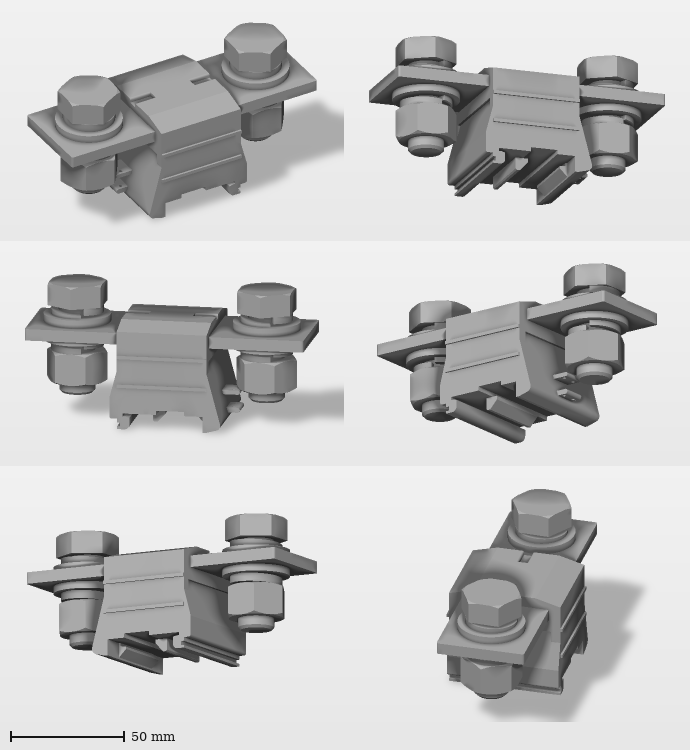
import cadquery as cq
import math


body_width = 51.0
cover_half_length = 20.2
cover_top_z = 47.3
cover_side_z = 44.25
cover_ridge_half_width = 14.1
skirt_bottom_z = 26.4
skirt_opening_z = 31.4
skirt_half_opening = 21.3

wall_slope = math.tan(math.radians(15))
back_wall_y = 23.5
back_wall_bottom_z = 4.7
back_wall_radius = 1.0

ceiling_z = 7.2
recess_z = 9.1
recess_front_y = -10.0
recess_back_y = 2.45

foot_inner_y = -18.3
foot_flat_y = -19.8
foot_radius = 2.35

hook_back_y = 20.15
groove_y = 18.7
groove_bottom_z = 1.15
groove_top_z = 3.05
hook_neck_y = 17.5
hook_tip_y = 14.5
hook_tip_z = 5.3
hook_throat_y = 16.1
hook_throat_z = 5.8
hook_radius = 2.35

inset_width = 30.0
latch_neck_y = -17.5
latch_tip_y = -14.8
latch_throat_z = 5.8
latch_tip_top_z = 5.4
latch_tip_bottom_z = 4.3
latch_bottom_z = 0.8
tooth_back_y = 5.85
tooth_front_y = 0.1
tooth_front_z = 5.5
tooth_point_y = 3.8
tooth_bottom_z = 1.5
tooth_chamfer = 0.6

rib_projection = 1.0
rib_thickness = 1.5
rib_centres_z = (19.75, 32.8)

slot_width = 4.1
slot_length = 10.25
slot_depth = 2.0
slot_edge_radius = 0.85

tab_width = 10.3
tab_tip_y = -31.35
tab_root_y = -20.0
tab_tip_bulge = 0.9
tab_levels = ((12.85, 14.75), (4.65, 6.95))
tab_hole_diameter = 1.5
tab_hole_x = 3.2
tab_hole_y = -28.2

bar_length = 125.0
bar_width = 40.0
bar_centre_x = -0.2
bar_bottom_z = 37.1
bar_top_z = 42.3
bar_corner_radius = 1.0

bolt_y = 42.5
bolt_diameter = 16.0
bolt_top_z = 60.2
bolt_length = 40.2
head_height = 10.0
tip_chamfer = 1.2
hex_across_flats = 24.0
hex_across_corners = hex_across_flats / math.cos(math.radians(30))
head_turn = -2.0
nut_turn = -35.0
nut_bottom_z = 15.2
nut_top_z = 29.5
head_face_diameter = 24.9
nut_face_diameter = 24.0
hex_chamfer_slope = math.tan(math.radians(30))

washer_diameter = 30.0
upper_washer_top_z = 45.75
lower_washer_bottom_z = 34.0
lock_outer_diameter = 23.3
lock_inner_diameter = 17.0
lock_thickness = 3.7
lock_pitch = 3.7
lock_start_angle = 198.0
lock_turn = 353.0
upper_lock_z = 43.4
lower_lock_z = 28.2


def box(x_min, x_max, y_min, y_max, z_min, z_max):
    size = (x_max - x_min, y_max - y_min, z_max - z_min)
    return cq.Workplane("XY").box(*size, centered=False).translate((x_min, y_min, z_min))


def across(yz_points, width):
    """Prism of a YZ outline, centred on X = 0."""
    return cq.Workplane("YZ").polyline(yz_points).close().extrude(width / 2, both=True)


def round_edge(solid, y, z, radius):
    """Fillet the edge along X that passes through (y, z)."""
    edge = solid.edges(cq.selectors.NearestToPointSelector((0, y, z)))
    return edge.fillet(radius)


def make_base():
    lean = (skirt_opening_z - skirt_bottom_z) * wall_slope
    top_y = cover_half_length - lean
    back_wall_top_z = skirt_bottom_z - (back_wall_y - cover_half_length) / wall_slope
    wall_foot_y = -cover_half_length - skirt_bottom_z * wall_slope
    foot_run = (foot_flat_y - wall_foot_y) / (1 + wall_slope**2)
    foot_corner = (foot_flat_y - foot_run, foot_run * wall_slope)
    base = across(
        [
            (-top_y, skirt_opening_z),
            foot_corner,
            (foot_flat_y, 0),
            (foot_inner_y, 0),
            (foot_inner_y, ceiling_z),
            (recess_front_y, ceiling_z),
            (recess_front_y, recess_z),
            (recess_back_y, recess_z),
            (recess_back_y, ceiling_z),
            (hook_neck_y, ceiling_z),
            (hook_neck_y, hook_throat_z),
            (hook_throat_y, hook_throat_z),
            (hook_tip_y, hook_tip_z),
            (hook_tip_y, 0),
            (hook_back_y, 0),
            (hook_back_y, groove_bottom_z),
            (groove_y, groove_bottom_z),
            (groove_y, groove_top_z),
            (hook_back_y, groove_top_z),
            (hook_back_y, back_wall_bottom_z),
            (back_wall_y, back_wall_bottom_z),
            (back_wall_y, back_wall_top_z),
            (top_y, skirt_opening_z),
        ],
        body_width,
    )
    base = round_edge(base, *foot_corner, foot_radius)
    base = round_edge(base, hook_tip_y, 0, hook_radius)
    return round_edge(base, back_wall_y, back_wall_bottom_z, back_wall_radius)


def make_latch():
    return across(
        [
            (foot_inner_y, ceiling_z),
            (latch_neck_y, ceiling_z),
            (latch_neck_y, latch_throat_z),
            (latch_tip_y, latch_tip_top_z),
            (latch_tip_y, latch_tip_bottom_z),
            (foot_inner_y, latch_bottom_z),
        ],
        inset_width,
    )


def make_tooth():
    return across(
        [
            (tooth_back_y, ceiling_z),
            (tooth_back_y, tooth_bottom_z + tooth_chamfer),
            (tooth_back_y - tooth_chamfer, tooth_bottom_z),
            (tooth_point_y, tooth_bottom_z),
            (tooth_front_y, tooth_front_z),
            (tooth_front_y, ceiling_z),
        ],
        inset_width,
    )


def make_cover():
    half_width = body_width / 2
    outline = [
        (-half_width, skirt_bottom_z),
        (-half_width, cover_side_z),
        (-cover_ridge_half_width, cover_top_z),
        (cover_ridge_half_width, cover_top_z),
        (half_width, cover_side_z),
        (half_width, skirt_bottom_z),
        (skirt_half_opening, skirt_bottom_z),
        (skirt_half_opening, skirt_opening_z),
        (-skirt_half_opening, skirt_opening_z),
        (-skirt_half_opening, skirt_bottom_z),
    ]
    return cq.Workplane("XZ").polyline(outline).close().extrude(cover_half_length, both=True)


def make_slot_cutter():
    """Slot at the -Y end of the cover, with its long top edges rounded over."""
    half = slot_width / 2
    r = slot_edge_radius
    profile = (
        cq.Workplane("XZ", origin=(0, slot_length - cover_half_length, cover_top_z))
        .moveTo(-half, -slot_depth)
        .lineTo(half, -slot_depth)
        .lineTo(half, -r)
        .radiusArc((half + r, 0), r)
        .lineTo(-half - r, 0)
        .radiusArc((-half, -r), r)
        .close()
    )
    return profile.extrude(slot_length)


def make_tab(z_min, z_max):
    """Flat tab with a bulged tip and a small hole near each tip corner."""
    shoulder_y = tab_tip_y + tab_tip_bulge
    outline = (
        cq.Workplane("YZ")
        .moveTo(tab_root_y, z_min)
        .lineTo(shoulder_y, z_min)
        .threePointArc((tab_tip_y, (z_min + z_max) / 2), (shoulder_y, z_max))
        .lineTo(tab_root_y, z_max)
        .close()
    )
    tab = outline.extrude(tab_width / 2, both=True)
    for x in (-tab_hole_x, tab_hole_x):
        hole = disc(tab_hole_diameter, z_min, z_max)
        tab = tab.cut(hole.translate((x, tab_hole_y, 0)))
    return tab


def make_housing():
    housing = make_base().union(make_cover()).union(make_latch()).union(make_tooth())
    rib_reach = body_width / 2 + rib_projection
    for z in rib_centres_z:
        half = rib_thickness / 2
        rib = box(-rib_reach, rib_reach, -cover_half_length, cover_half_length, z - half, z + half)
        housing = housing.union(rib)
    for z_min, z_max in tab_levels:
        housing = housing.union(make_tab(z_min, z_max))
    slot = make_slot_cutter()
    return housing.cut(slot).cut(slot.mirror("XZ"))


def make_busbar():
    half = bar_width / 2
    bar = box(-half, half, -bar_length / 2, bar_length / 2, bar_bottom_z, bar_top_z)
    return bar.edges("|Z").fillet(bar_corner_radius).translate((bar_centre_x, 0, 0))


def disc(diameter, z_min, z_max):
    return cq.Workplane("XY", origin=(0, 0, z_min)).circle(diameter / 2).extrude(z_max - z_min)


def hexagon(z_min, z_max, turn):
    """Hexagonal prism on the Z axis, turned from having corners on the X axis."""
    prism = cq.Workplane("XY", origin=(0, 0, z_min)).polygon(6, hex_across_corners)
    return prism.extrude(z_max - z_min).rotate((0, 0, 0), (0, 0, 1), turn)


def cut_corners(hexagonal, face_z, face_diameter, inward):
    """Turn the corners down conically from face_z; inward is -1 at a top face, 1 at a bottom face."""
    face_radius = face_diameter / 2
    corner_radius = hex_across_corners / 2
    corner_z = face_z + inward * (corner_radius - face_radius) * hex_chamfer_slope
    outline = [(face_radius, face_z), (corner_radius, face_z), (corner_radius, corner_z)]
    ring = cq.Workplane("XZ").polyline(outline).close().revolve(360, (0, 0), (0, 1))
    return hexagonal.cut(ring)


def make_lock_washer(z):
    """Split spring washer: a left-hand helical coil whose lower end starts at height z."""
    mean_radius = (lock_outer_diameter + lock_inner_diameter) / 4
    section_width = (lock_outer_diameter - lock_inner_diameter) / 2
    rise = lock_pitch * lock_turn / 360
    path = cq.Wire.makeHelix(lock_pitch, rise, mean_radius, lefthand=True)
    coil = (
        cq.Workplane("XZ", origin=(mean_radius, 0, lock_thickness / 2))
        .rect(section_width, lock_thickness)
        .sweep(cq.Workplane(path), isFrenet=True)
    )
    return coil.translate((0, 0, z)).rotate((0, 0, 0), (0, 0, 1), lock_start_angle)


def make_bolt_set():
    """Bolt, nut and washers on the Z axis."""
    head_bottom_z = bolt_top_z - head_height
    head = hexagon(head_bottom_z, bolt_top_z, head_turn)
    head = cut_corners(head, bolt_top_z, head_face_diameter, -1)
    shank = disc(bolt_diameter, head_bottom_z - bolt_length, head_bottom_z)
    shank = shank.faces("<Z").chamfer(tip_chamfer)
    nut = hexagon(nut_bottom_z, nut_top_z, nut_turn)
    nut = cut_corners(nut, nut_top_z, nut_face_diameter, -1)
    nut = cut_corners(nut, nut_bottom_z, nut_face_diameter, 1)
    washers = disc(washer_diameter, lower_washer_bottom_z, upper_washer_top_z)
    bolt_set = head.union(shank).union(nut).union(washers)
    for z in (upper_lock_z, lower_lock_z):
        bolt_set = bolt_set.union(make_lock_washer(z))
    return bolt_set


result = make_housing().union(make_busbar())
bolt_set = make_bolt_set()
for y in (-bolt_y, bolt_y):
    result = result.union(bolt_set.translate((0, y, 0)))